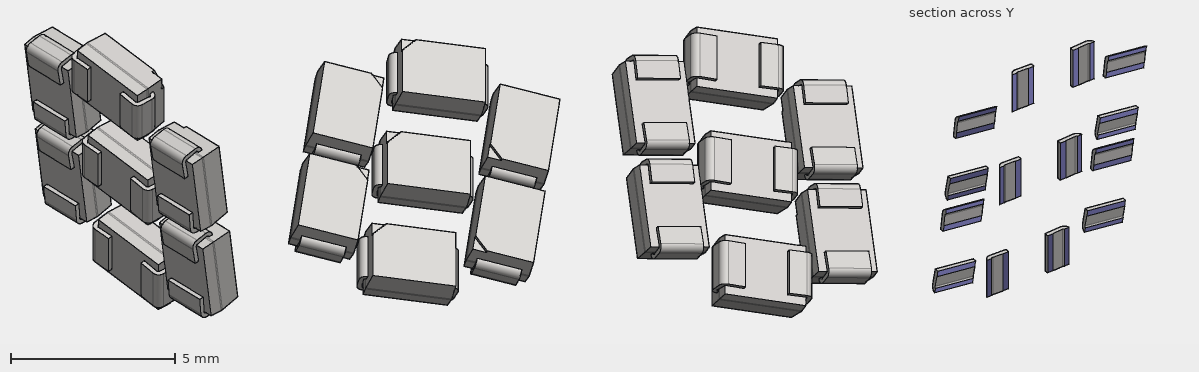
import cadquery as cq
import math


housing_length = 2.7
housing_width = 1.99
housing_front = 0.18
parting_front = 0.57
parting_back = 0.62
housing_back = 1.32
draft_angle = 4.0

mark_leg = 0.52
mark_depth = 0.095

terminal_span = 3.15
terminal_width = 1.415
terminal_thickness = 0.15
shoulder_back = 0.83
root_depth = 0.29
leg_lean = 0.08
foot_tip_x = 0.72
foot_tip_front = 0.03
heel_front = -0.01
bend_radius = 0.225

overall_height = 8.63
row_pitch = (overall_height - housing_width) / 2
row_shift = 0.47
column_offset = 2.75
slant_angle = math.degrees(math.atan2(row_shift, row_pitch))


def housing_layer(parting_y, outer_y):
    """Layer from the parting band to an outer face, narrowing by the draft angle."""
    height = abs(outer_y - parting_y)
    inset = 2 * height * math.tan(math.radians(draft_angle))
    return (
        cq.Workplane("XZ", origin=(0, parting_y, 0))
        .rect(housing_length, housing_width)
        .workplane(offset=parting_y - outer_y)
        .rect(housing_length - inset, housing_width - inset)
        .loft(ruled=True)
    )


def housing():
    """Drafted front and back layers joined by the flat parting band."""
    band_centre = (parting_front + parting_back) / 2
    band = (
        cq.Workplane("XY")
        .box(housing_length, parting_back - parting_front, housing_width)
        .translate((0, band_centre, 0))
    )
    front = housing_layer(parting_front, housing_front)
    back = housing_layer(parting_back, housing_back)
    return band.union(front).union(back)


def mark_cutter():
    """Triangular block sunk into the back face at the +X, +Z corner."""
    corner_x = housing_length / 2
    corner_z = housing_width / 2
    return (
        cq.Workplane("XZ", origin=(0, housing_back, 0))
        .polyline([
            (corner_x, corner_z),
            (corner_x - mark_leg, corner_z),
            (corner_x, corner_z - mark_leg),
        ])
        .close()
        .extrude(mark_depth)
    )


def terminal():
    """Bent strip at the +X end: shoulder rooted in the housing, leaning leg, foot below."""
    thickness = terminal_thickness
    root_x = housing_length / 2 - root_depth
    shoulder_x = terminal_span / 2
    heel_x = shoulder_x - leg_lean
    outer_corners = [(shoulder_x, shoulder_back), (heel_x, heel_front)]
    inner_corners = [
        (heel_x - thickness, heel_front + thickness),
        (shoulder_x - thickness, shoulder_back - thickness),
    ]
    foot_tip = [(foot_tip_x, foot_tip_front), (foot_tip_x, foot_tip_front + thickness)]
    root = [(root_x, shoulder_back - thickness), (root_x, shoulder_back)]
    strip = (
        cq.Workplane("XY")
        .polyline(outer_corners + foot_tip + inner_corners + root)
        .close()
        .extrude(terminal_width / 2, both=True)
    )
    for corners, radius in (
        (outer_corners, bend_radius),
        (inner_corners, bend_radius - thickness),
    ):
        for x, y in corners:
            nearest = cq.selectors.NearestToPointSelector((x, y, 0))
            strip = strip.edges("|Z").edges(nearest).fillet(radius)
    return strip


def package():
    """One package: marked housing with a terminal at each end."""
    right_terminal = terminal()
    left_terminal = right_terminal.mirror("YZ")
    return housing().cut(mark_cutter()).union(right_terminal).union(left_terminal)


flat_package = package()


def placed(turn, offset, row):
    """Copy turned about Y, at a sideways offset and a number of rows below the middle."""
    return (
        flat_package
        .rotate((0, 0, 0), (0, 1, 0), turn)
        .translate((offset + row * row_shift, 0, -row * row_pitch))
        .solids()
        .val()
    )


row_packages = [placed(0, 0, row) for row in (-1, 0, 1)]

down_turn = 90 - slant_angle
column_packages = [
    placed(turn, offset, row)
    for turn, offset in ((down_turn, -column_offset), (down_turn - 180, column_offset))
    for row in (-0.5, 0.5)
]

result = cq.Compound.makeCompound(row_packages + column_packages)